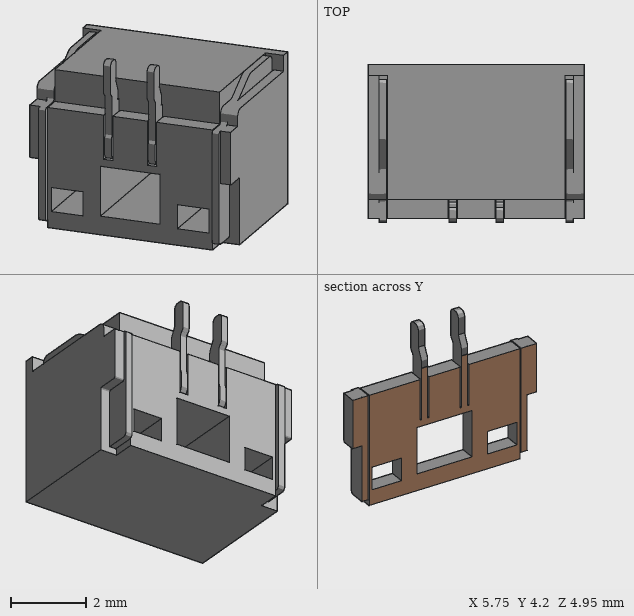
import cadquery as cq


housing_width = 5.75
housing_depth = 4.1
housing_height = 4.3
core_width = 4.72
step_depth = 0.51
step_height = 3.4

ear_top = 3.85
ear_lower_front = 0.65
ear_overhang_bottom = 1.9
back_rim = 0.3
ear_round = 0.2
ear_small_round = 0.05

latch_window_width = 1.7
latch_window_bottom = 0.53
latch_window_top = 1.94
tab_width = 1.0
tab_height = 0.42
tab_depth = 0.3
side_window_width = 0.9
side_window_bottom = 0.47
side_window_height = 0.68
side_window_offset = 1.805

plate_thickness = 0.2
plate_outer_offset = 2.585
plate_bottom = 0.19
plate_front = -0.1
plate_top = 4.32
plate_back_end = 3.7
plate_ramp_top = 2.12
plate_ramp_foot = 1.3
plate_ramp_top_round = 0.5
plate_ramp_foot_round = 0.3
plate_back_round = 0.18
plate_step_round = 0.08
plate_front_top_round = 0.08
plate_front_bottom_round = 0.12

pin_pitch = 1.25
pin_width = 0.2
pin_front = 0.02
pin_tip_top = 4.95
pin_tip_front = -0.1
pin_tip_back = 0.295
pin_tip_round = 0.15
pin_neck_back = 0.445
pin_neck_top = 3.93
pin_shoulder_height = 3.73
pin_tip_base_front = 4.125
pin_tip_base_back = 4.3
pin_bend_back = 0.385
pin_bend_height = 4.105
pin_neck_front_top = 3.876
pin_heel_front = -0.02
pin_heel_top = 2.715
pin_heel_blend_top = 2.9
pin_heel_round = 0.2
slot_width = 0.26
slot_bottom = 2.15


def block(x_min, x_max, y_min, y_max, z_min, z_max):
    """Axis-aligned box given by its limits."""
    size = (x_max - x_min, y_max - y_min, z_max - z_min)
    return cq.Workplane("XY").box(*size, centered=False).translate((x_min, y_min, z_min))


def centred_block(x_centre, width, y_min, y_max, z_min, z_max):
    """Axis-aligned box centred on one X position."""
    return block(x_centre - width / 2, x_centre + width / 2, y_min, y_max, z_min, z_max)


def side_sketch(x):
    """Workplane at the given X whose local axes are Y and Z."""
    return cq.Workplane("YZ", origin=(x, 0, 0))


def make_core():
    """Housing between the ears, with a ledge along its upper front edge."""
    core = centred_block(0, core_width, 0, housing_depth, 0, housing_height)
    ledge = centred_block(0, core_width, 0, step_depth, step_height, housing_height)
    return core.cut(ledge)


def make_ear():
    """Ear on the +X side, with rounded corners along its front and a full-height rim at the back."""
    rim_front = housing_depth - back_rim
    outline = [
        (housing_depth, 0),
        (housing_depth, housing_height),
        (rim_front, housing_height),
        (rim_front, ear_top),
        (step_depth, ear_top),
        (step_depth, step_height),
        (0, step_height),
        (0, ear_overhang_bottom),
        (ear_lower_front, ear_overhang_bottom),
        (ear_lower_front, 0),
    ]
    ear_width = (housing_width - core_width) / 2
    ear = side_sketch(core_width / 2).polyline(outline).close().extrude(ear_width)
    x_middle = (core_width + housing_width) / 4
    rounds = [
        ((step_depth, ear_top), ear_round),
        ((0, ear_overhang_bottom), ear_small_round),
        ((ear_lower_front, ear_overhang_bottom), ear_small_round),
    ]
    for (y, z), radius in rounds:
        ear = ear.edges(cq.selectors.NearestToPointSelector((x_middle, y, z))).fillet(radius)
    return ear


def make_plate():
    """Solder plate on the +X side; its upper edge follows the ear and rises into a hump."""
    outline = [
        (plate_front, plate_bottom),
        (plate_front, step_height),
        (step_depth, step_height),
        (step_depth, ear_top),
        (plate_ramp_foot, ear_top),
        (plate_ramp_top, plate_top),
        (plate_back_end, plate_top),
        (plate_back_end, plate_bottom),
    ]
    x_inner = plate_outer_offset - plate_thickness
    plate = side_sketch(x_inner).polyline(outline).close().extrude(plate_thickness)
    x_middle = x_inner + plate_thickness / 2
    rounds = [
        ((plate_front, plate_bottom), plate_front_bottom_round),
        ((plate_front, step_height), plate_front_top_round),
        ((step_depth, step_height), plate_step_round),
        ((step_depth, ear_top), ear_round),
        ((plate_ramp_foot, ear_top), plate_ramp_foot_round),
        ((plate_ramp_top, plate_top), plate_ramp_top_round),
        ((plate_back_end, plate_top), plate_back_round),
    ]
    for (y, z), radius in rounds:
        plate = plate.edges(cq.selectors.NearestToPointSelector((x_middle, y, z))).fillet(radius)
    return plate


def s_curve(profile, start_y, start_z, end_y, end_z):
    """Extend a profile running along Z by two equal opposite arcs that end along Z again."""
    half = ((end_y - start_y) / 2, (end_z - start_z) / 2)
    return profile.tangentArcPoint(half).tangentArcPoint(half)


def make_pin(x):
    """Contact pin standing in its slot, with a rounded tip above the housing."""
    profile = (
        side_sketch(x - pin_width / 2)
        .moveTo(step_depth, slot_bottom)
        .lineTo(step_depth, pin_shoulder_height)
        .lineTo(pin_neck_back, pin_shoulder_height)
        .lineTo(pin_neck_back, pin_neck_top)
        .tangentArcPoint((pin_bend_back, pin_bend_height), relative=False)
        .lineTo(pin_tip_back, pin_tip_base_back)
        .lineTo(pin_tip_back, pin_tip_top - pin_tip_round)
        .tangentArcPoint((-pin_tip_round, pin_tip_round))
        .lineTo(pin_tip_front + pin_tip_round, pin_tip_top)
        .tangentArcPoint((-pin_tip_round, -pin_tip_round))
        .lineTo(pin_tip_front, pin_tip_base_front)
    )
    profile = s_curve(profile, pin_tip_front, pin_tip_base_front, pin_front, pin_neck_front_top)
    profile = profile.lineTo(pin_front, pin_heel_blend_top)
    profile = s_curve(profile, pin_front, pin_heel_blend_top, pin_heel_front, pin_heel_top)
    profile = profile.lineTo(pin_heel_front, slot_bottom + pin_heel_round)
    profile = profile.tangentArcPoint((pin_heel_round, -pin_heel_round))
    return profile.close().extrude(pin_width)


def cut_windows(body):
    """Latch window with its hanging tab at the back, and a smaller window on each side."""
    body = body.cut(
        centred_block(0, latch_window_width, 0, housing_depth, latch_window_bottom, latch_window_top)
    )
    side_window_top = side_window_bottom + side_window_height
    for x in (-side_window_offset, side_window_offset):
        body = body.cut(
            centred_block(x, side_window_width, 0, housing_depth, side_window_bottom, side_window_top)
        )
    tab_bottom = latch_window_top - tab_height
    tab = centred_block(
        0, tab_width, housing_depth - tab_depth, housing_depth, tab_bottom, latch_window_top
    )
    return body.union(tab)


def cut_plate_slot(ear):
    """Slot for the plate between ear and core, open at the top and front; the plate stands on its floor."""
    slot_back = housing_depth - back_rim
    slot = block(core_width / 2, plate_outer_offset, 0, slot_back, plate_bottom, housing_height)
    return ear.cut(slot)


housing = make_core()
slotted_ear = cut_plate_slot(make_ear())
plate = make_plate()

for ear in (slotted_ear, slotted_ear.mirror("YZ")):
    housing = housing.union(ear)

housing = cut_windows(housing)

for pin_x in (-pin_pitch / 2, pin_pitch / 2):
    slot = centred_block(pin_x, slot_width, 0, step_depth, slot_bottom, step_height)
    housing = housing.cut(slot).union(make_pin(pin_x))

for side_plate in (plate, plate.mirror("YZ")):
    housing = housing.union(side_plate, clean=False)

result = housing